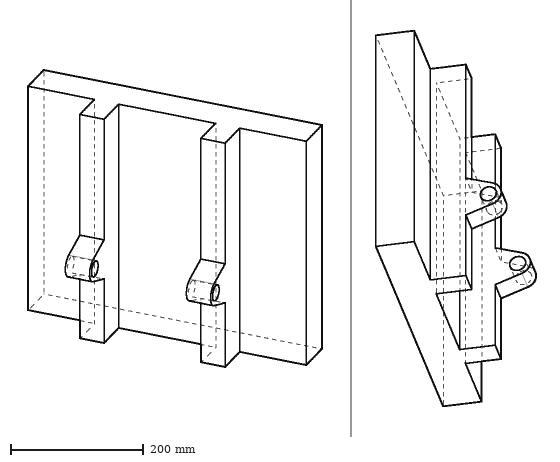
import cadquery as cq
import math

plate_width = 460.0
plate_height = 380.0
plate_thickness = 60.0

rib_width = 40.0
rib_spacing = 200.0
rib_depth = 55.0
rib_face_y = -(plate_thickness + rib_depth)

total_depth = 169.7
lug_radius = 20.0
lug_base_height = 66.2
lug_hole_diameter = 25.0
lug_center_y = -(total_depth - lug_radius)
lug_center_z = 142.0


def make_plate():
    return cq.Workplane("XY").box(
        plate_width, plate_thickness, plate_height, centered=(True, False, False)
    ).translate((0, -plate_thickness, 0))


def make_rib(center_x):
    return cq.Workplane("XY").box(
        rib_width, rib_depth, plate_height, centered=(True, False, False)
    ).translate((center_x, rib_face_y, 0))


def make_lug(center_x):
    reach = rib_face_y - lug_center_y
    half_base = lug_base_height / 2
    corner_distance = math.hypot(reach, half_base)
    tangent_angle = math.atan2(half_base, reach) + math.acos(lug_radius / corner_distance)
    tangent_y = lug_center_y + lug_radius * math.cos(tangent_angle)
    tangent_rise = lug_radius * math.sin(tangent_angle)

    return (
        cq.Workplane("YZ", origin=(center_x, 0, 0))
        .moveTo(rib_face_y, lug_center_z - half_base)
        .lineTo(tangent_y, lug_center_z - tangent_rise)
        .threePointArc(
            (lug_center_y - lug_radius, lug_center_z),
            (tangent_y, lug_center_z + tangent_rise),
        )
        .lineTo(rib_face_y, lug_center_z + half_base)
        .close()
        .moveTo(lug_center_y, lug_center_z)
        .circle(lug_hole_diameter / 2)
        .extrude(rib_width / 2, both=True)
    )


result = make_plate()
for rib_x in (-rib_spacing / 2, rib_spacing / 2):
    result = result.union(make_rib(rib_x)).union(make_lug(rib_x))